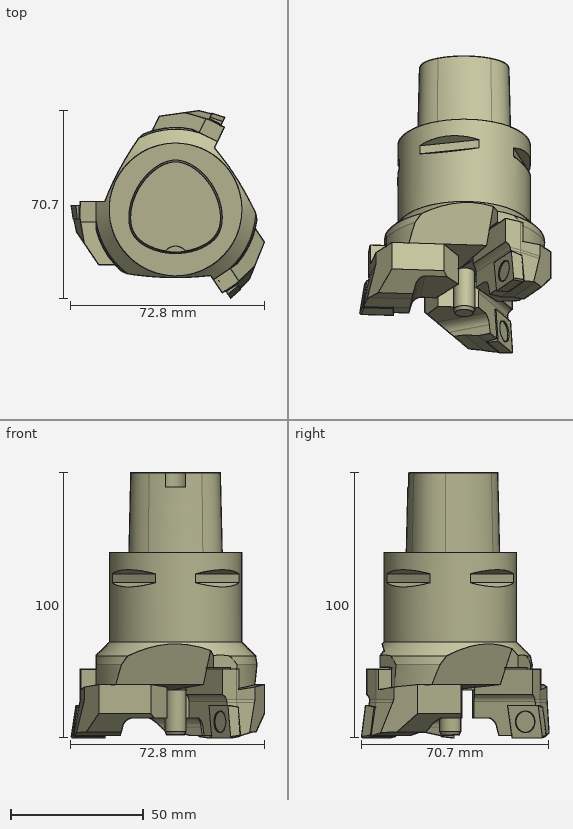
import cadquery as cq
import math

collar_radius = 25.0
collar_bottom = 36.2
collar_top = 70.0
overall_height = 100.0

taper_base_radius = 17.6
taper_top_radius = 16.9
taper_lobe = 1.0
lobe_count = 3
curve_points = 24
taper_lobe_angle = 90.0
taper_seam_offset = 34.0

notch_radius = 4.7
notch_floor_y = -13.8
notch_depth = 5.5

grip_count = 4
grip_start_angle = 45.0
grip_flat_distance = 22.2
grip_center_z = 60.2
grip_floor_height = 3.3
grip_slope = 0.57

head_profile = [(30.2, 31.0), (30.9, 27.7), (30.6, 18.1)]
head_bottom = head_profile[-1][1]
side_flat_x = 29.9
flat_half_width = 10.0

rake_y = -3.0
seat_start_y = 2.9
tail_y = 20.9
seat_rise = 2.1
flute_lean = 0.313
tab_top = 26.0
tab_gap = 0.7
tab_back_y = 4.7

nozzle_radius = 4.0
nozzle_bottom = 1.3
nozzle_chamfer_height = 1.3
nozzle_chamfer_width = 0.6

tooth_angles = [180.0, 304.0, 64.0]

outer_x = 35.9
flank_turn_y = 3.4
flank_angle = 9.5
tail_corner = (28.9, tail_y)
facet_start = (34.4, 12.75)
inner_tail_corner = (9.3, tail_y)
inner_side_corner = (3.2, 12.5)
inner_rake_x = 11.6
lower_rake_y = -1.0
groove_top = 16.4
groove_radius = 2.75
arm_bottom = 1.0
band_top = 14.5
band_bottom = 13.4
band_step = 0.2
flare_x = 38.3
gullet_foot = (20.8, arm_bottom)
gullet_arc = [(19.9, 4.2), (18.9, 6.3), (16.4, 7.6)]
heel_start = (4.0, arm_bottom)
heel_middle = (9.5, 2.2)
heel_end = (14.0, 2.4)
tail_chamfer_top = heel_end[1] + tail_y - heel_end[0]

insert_face_y = -1.5
insert_thickness = 5.0
insert_width = 12.8
insert_height = 12.4
insert_skew = 1.9
insert_outer_x = 39.4
insert_corner = 0.6
insert_relief = 7.0
recess_diameter = 8.0
recess_depth = 0.5

far = 90.0


def lobed_wire(radius, height):
    """Three-lobed constant-width outline, as six curves joined at the seams."""

    def point(angle):
        phase = lobe_count * (angle - math.radians(taper_lobe_angle))
        support = radius + taper_lobe * math.cos(phase)
        slope = -lobe_count * taper_lobe * math.sin(phase)
        x = support * math.cos(angle) - slope * math.sin(angle)
        y = support * math.sin(angle) + slope * math.cos(angle)
        return x, y, 0

    seams = []
    for lobe in range(lobe_count):
        center = taper_lobe_angle + lobe * 360 / lobe_count
        seams += [center - taper_seam_offset, center + taper_seam_offset]
    seams.append(seams[0] + 360)
    edges = []
    for start, stop in zip(seams, seams[1:]):
        curve = cq.Workplane().parametricCurve(
            point, N=curve_points, start=math.radians(start), stop=math.radians(stop), makeWire=False
        )
        edges.append(curve.val())
    return cq.Wire.assembleEdges(edges).translate(cq.Vector(0, 0, height))


def shank():
    """Tapered three-lobed shank with a round notch at its top edge."""
    base = lobed_wire(taper_base_radius, collar_top)
    top = lobed_wire(taper_top_radius, overall_height)
    taper = cq.Workplane(cq.Solid.makeLoft([base, top], True))
    notch = (
        cq.Workplane(origin=(0, notch_floor_y - notch_radius, overall_height - notch_depth))
        .circle(notch_radius)
        .extrude(notch_depth)
    )
    return taper.cut(notch)


def grip_slot(angle):
    """Flat-bottomed groove with sloping sides across the collar."""
    half_floor = grip_floor_height / 2
    reach = collar_radius + 1
    half_mouth = half_floor + grip_slope * (reach - grip_flat_distance)
    return (
        cq.Workplane("XZ")
        .polyline(
            [
                (grip_flat_distance, grip_center_z - half_floor),
                (reach, grip_center_z - half_mouth),
                (reach, grip_center_z + half_mouth),
                (grip_flat_distance, grip_center_z + half_floor),
            ]
        )
        .close()
        .extrude(collar_radius, both=True)
        .rotate((0, 0, 0), (0, 0, 1), angle)
    )


def flute(step):
    """Space behind one tooth: under its sloping seat and outside its leaning flat."""
    flat_top_y = tail_y + flute_lean * (collar_bottom - head_bottom - seat_rise)
    space = (
        cq.Workplane("YZ")
        .polyline(
            [
                (seat_start_y, head_bottom),
                (tail_y, head_bottom + seat_rise),
                (flat_top_y, collar_bottom),
                (far, collar_bottom),
                (far, head_bottom),
            ]
        )
        .close()
        .extrude(far, both=True)
    )
    half_step = math.radians(step / 2)
    corner_x = -rake_y * math.tan(half_step)
    sector = (
        cq.Workplane()
        .polyline(
            [
                (corner_x, rake_y),
                (corner_x + far, rake_y),
                (corner_x + 2 * far * math.cos(half_step), rake_y + 2 * far * math.sin(half_step)),
                (corner_x + far * math.cos(2 * half_step), rake_y + far * math.sin(2 * half_step)),
            ]
        )
        .close()
        .extrude(overall_height)
    )
    return space.intersect(sector)


def box(x_range, y_range, z_range):
    """Block between the given limits."""
    size = [high - low for low, high in (x_range, y_range, z_range)]
    corner = (x_range[0], y_range[0], z_range[0])
    return cq.Workplane(origin=corner).box(*size, centered=False)


def tooth_flat():
    """Space outside the flat on the head above each cartridge."""
    return box((side_flat_x, outer_x), (-flat_half_width, flat_half_width), (head_bottom, collar_bottom))


def tab_slot():
    """Slot for a cartridge tab, with a gap left above the tab."""
    return box((inner_rake_x, outer_x), (rake_y, tab_back_y), (head_bottom, tab_top + tab_gap))


def make_body():
    """Shank, collar, cutter head and central nozzle as one solid."""
    body = (
        cq.Workplane("XZ")
        .polyline(
            [(0, head_bottom), (0, collar_top), (collar_radius, collar_top), (collar_radius, collar_bottom)]
            + head_profile
        )
        .close()
        .revolve(360, (0, 0, 0), (0, 1, 0))
    )
    for index in range(grip_count):
        body = body.cut(grip_slot(grip_start_angle + index * 360 / grip_count))
    for angle, following in zip(tooth_angles, tooth_angles[1:] + tooth_angles[:1]):
        step = (following - angle) % 360
        for cutter in (flute(step), tooth_flat(), tab_slot()):
            body = body.cut(cutter.rotate((0, 0, 0), (0, 0, 1), angle))
    nozzle = (
        cq.Workplane(origin=(0, 0, nozzle_bottom))
        .circle(nozzle_radius)
        .extrude(head_bottom - nozzle_bottom)
        .faces("<Z")
        .chamfer(nozzle_chamfer_height, nozzle_chamfer_width)
    )
    return body.union(nozzle).union(shank())


def make_insert():
    """Skewed square insert with relieved sides and a round recess in its face."""
    insert = (
        cq.Workplane("XZ", origin=(0, insert_face_y, 0))
        .polyline(
            [
                (insert_outer_x - insert_width, 0),
                (insert_outer_x, 0),
                (insert_outer_x - insert_skew, insert_height),
                (insert_outer_x - insert_skew - insert_width, insert_height),
            ]
        )
        .close()
        .extrude(-insert_thickness, taper=insert_relief)
        .edges(cq.selectors.NearestToPointSelector((insert_outer_x, insert_face_y + insert_thickness / 2, 0)))
        .chamfer(insert_corner)
    )
    center_x = insert_outer_x - (insert_width + insert_skew) / 2
    recess = (
        cq.Workplane("XZ", origin=(center_x, insert_face_y, insert_height / 2))
        .circle(recess_diameter / 2)
        .extrude(-recess_depth)
    )
    return insert.cut(recess)


def outer_flank():
    """Space inside the outer flank, which flares outward below the step band."""
    return (
        cq.Workplane("XZ")
        .moveTo(-far, tab_top)
        .lineTo(outer_x, tab_top)
        .lineTo(outer_x, band_top)
        .lineTo(outer_x + band_step, band_bottom)
        .lineTo(flare_x, arm_bottom)
        .lineTo(-far, arm_bottom)
        .close()
        .extrude(far, both=True)
    )


def make_cartridge(insert):
    """Curved arm with a tab in front, pocketed for its insert."""
    plan_slope = (tail_corner[0] - facet_start[0]) / (tail_corner[1] - facet_start[1])
    facet_end_y = tail_y + (flare_x - tail_corner[0]) / plan_slope
    plan = (
        cq.Workplane()
        .polyline(
            [
                (inner_rake_x, rake_y),
                (flare_x, rake_y),
                (flare_x, facet_end_y),
                tail_corner,
                inner_tail_corner,
                inner_side_corner,
            ]
        )
        .close()
        .extrude(tab_top)
    )
    groove_overhang = groove_radius - (lower_rake_y - rake_y)
    groove_bottom = groove_top - math.sqrt(groove_radius**2 - groove_overhang**2)
    seat_and_heel = (
        cq.Workplane("YZ")
        .moveTo(rake_y, head_bottom)
        .lineTo(rake_y, groove_top)
        .radiusArc((lower_rake_y, groove_bottom), groove_radius)
        .lineTo(lower_rake_y, arm_bottom)
        .lineTo(*heel_start)
        .lineTo(*heel_middle)
        .lineTo(*heel_end)
        .lineTo(tail_y, tail_chamfer_top)
        .lineTo(tail_y, head_bottom + seat_rise)
        .lineTo(seat_start_y, head_bottom)
        .close()
        .extrude(far, both=True)
    )
    tab = box((inner_rake_x, outer_x), (rake_y, tab_back_y), (groove_top, tab_top))
    gullet = (
        cq.Workplane("XZ")
        .moveTo(*gullet_foot)
        .lineTo(*gullet_arc[0])
        .threePointArc(gullet_arc[1], gullet_arc[2])
        .lineTo(0, gullet_arc[2][1])
        .lineTo(0, arm_bottom)
        .close()
        .extrude(far, both=True)
    )
    pivot = (outer_x, flank_turn_y, 0)
    pivot_top = (outer_x, flank_turn_y, 1)
    turned_flank = outer_flank().rotate(pivot, pivot_top, flank_angle)
    return (
        plan.intersect(seat_and_heel)
        .union(tab)
        .intersect(outer_flank())
        .intersect(turned_flank)
        .cut(gullet)
        .cut(insert)
    )


body = make_body()
insert_shape = make_insert()
cartridge_shape = make_cartridge(insert_shape)
cartridges = []
inserts = []
for angle in tooth_angles:
    cartridges.append(cartridge_shape.rotate((0, 0, 0), (0, 0, 1), angle).val())
    inserts.append(insert_shape.rotate((0, 0, 0), (0, 0, 1), angle).val())

result = cq.Compound.makeCompound([body.val(), *cartridges, *inserts])